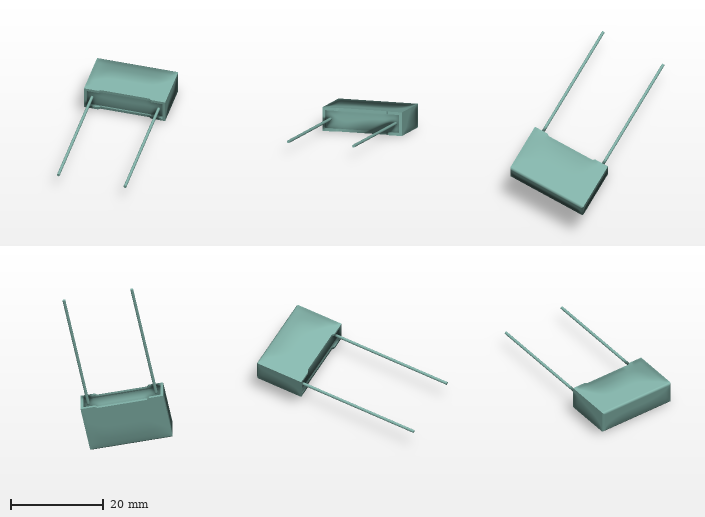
import cadquery as cq

case_width = 18.3
case_length = 11.1
case_height = 5.22
wall = 0.6
back_fillet = 0.5

relief_depth = 0.4
relief_outer_width = 11.95
relief_slope_run = 0.5

fill_recess = 0.72

lead_diameter = 0.65
lead_spacing = 15.0
overall_length = 38.1

case_front = 0.0
case_back = case_front + case_length
fill_front = case_front + fill_recess
fill_back = case_back - wall
lead_tip = case_back - overall_length

cavity_width = case_width - 2 * wall
cavity_height = case_height - 2 * wall


def block(width, height, y_front, y_back):
    """Box centred on X and Z that spans y_front to y_back."""
    return cq.Workplane("XY").box(width, y_back - y_front, height).translate((0, (y_front + y_back) / 2, 0))


def make_relief_cutter():
    """Trapezoid through the full height, narrowing away from the front edge."""
    outer_x = relief_outer_width / 2
    inner_x = outer_x - relief_slope_run
    relief_back = case_front + relief_depth
    return (
        cq.Workplane("XY")
        .polyline(
            [
                (-outer_x, case_front),
                (outer_x, case_front),
                (inner_x, relief_back),
                (-inner_x, relief_back),
            ]
        )
        .close()
        .extrude(case_height / 2, both=True)
    )


def make_case():
    shell = block(case_width, case_height, case_front, case_back)
    shell = shell.faces(">Y").edges().fillet(back_fillet)
    cavity = block(cavity_width, cavity_height, case_front, fill_back)
    return shell.cut(cavity).cut(make_relief_cutter())


def make_fill():
    return block(cavity_width, cavity_height, fill_front, fill_back)


def make_lead(x):
    """Straight round wire from its free tip to the face of the fill."""
    return (
        cq.Workplane("XZ", origin=(x, fill_front, 0))
        .circle(lead_diameter / 2)
        .extrude(fill_front - lead_tip)
    )


case = make_case()
fill = make_fill()
leads = [make_lead(side * lead_spacing / 2) for side in (-1, 1)]

result = cq.Compound.makeCompound([case.val(), fill.val(), *[lead.val() for lead in leads]])